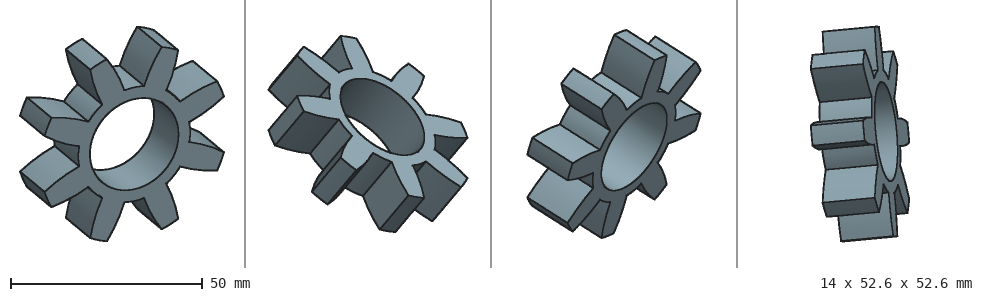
import cadquery as cq
import math

WIDTH = 14.0
BORE_RADIUS = 13.0
ROOT_RADIUS = 16.4
TIP_RADIUS = 27.5
TOOTH_COUNT = 8
ROOT_HALF_WIDTH = 3.5
TIP_HALF_WIDTH = 2.65
FLANK_BULGE = 0.4

PITCH_ANGLE = 360 / TOOTH_COUNT
FIRST_TOOTH_ANGLE = PITCH_ANGLE / 2


def radial_reach(radius, half_width):
    """Distance along the tooth centreline to a corner on the given circle."""
    return math.sqrt(radius**2 - half_width**2)


def make_ring():
    return cq.Workplane("YZ").circle(ROOT_RADIUS).circle(BORE_RADIUS).extrude(WIDTH)


def make_tooth(angle):
    """One tooth with bowed flanks and a concentric tip, rooted inside the ring."""
    inner_reach = (BORE_RADIUS + ROOT_RADIUS) / 2
    root_reach = radial_reach(ROOT_RADIUS, ROOT_HALF_WIDTH)
    tip_reach = radial_reach(TIP_RADIUS, TIP_HALF_WIDTH)
    middle_reach = (root_reach + tip_reach) / 2
    middle_half_width = (ROOT_HALF_WIDTH + TIP_HALF_WIDTH) / 2 + FLANK_BULGE
    return (
        cq.Workplane("YZ")
        .moveTo(inner_reach, -ROOT_HALF_WIDTH)
        .lineTo(root_reach, -ROOT_HALF_WIDTH)
        .threePointArc((middle_reach, -middle_half_width), (tip_reach, -TIP_HALF_WIDTH))
        .threePointArc((TIP_RADIUS, 0), (tip_reach, TIP_HALF_WIDTH))
        .threePointArc((middle_reach, middle_half_width), (root_reach, ROOT_HALF_WIDTH))
        .lineTo(inner_reach, ROOT_HALF_WIDTH)
        .close()
        .extrude(WIDTH)
        .rotate((0, 0, 0), (1, 0, 0), angle)
    )


result = make_ring()
for index in range(TOOTH_COUNT):
    result = result.union(make_tooth(FIRST_TOOTH_ANGLE + index * PITCH_ANGLE))